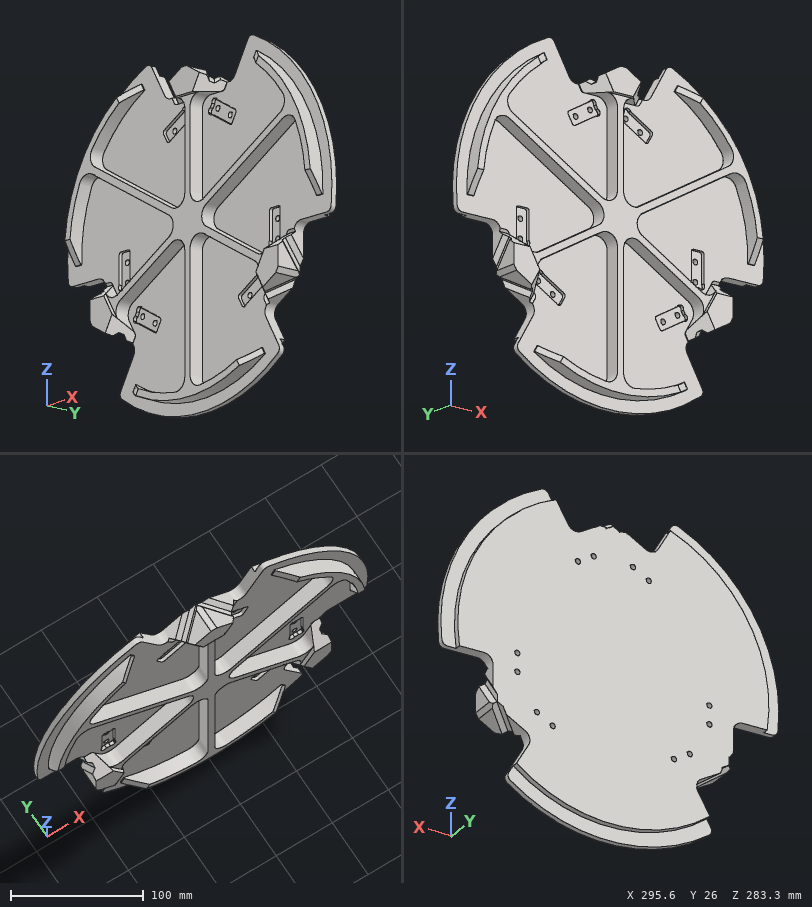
import cadquery as cq
import math


BACK_STEP = 5.0
PLATE_FRONT = 10.0
WEB_FRONT = 22.5
LUG_FRONT = 26.0

RIM_RADIUS = 147.8
BACK_RADIUS = 136.0
RING_OUTER_RADIUS = 137.8
WALL_THICKNESS = 6.0
RING_INNER_RADIUS = RING_OUTER_RADIUS - WALL_THICKNESS
RIB_HALF = WALL_THICKNESS / 2
WEB_FILLET = 10.0

NOTCH_EDGE_Z = -20.0
NOTCH_FILLET = 8.0
RIM_CORNER_FILLET = 5.0
FAR = 1.5 * RIM_RADIUS

RING_END_Z = -5.3
RAMP_LENGTH = 17.7
RAMP_STEP = 1.0

LUG_EDGE_DISTANCE = 105.3
LUG_TIP_RADIUS = 120.0
LUG_INNER_RADIUS = 98.2
LUG_FRONT_EDGE = 19.8
FLANK_ANGLE = math.radians(37.4)
RELIEF_LENGTH = 22.2
RELIEF_WIDTH = 9.0
RELIEF_CORNER_DIAMETER = 8.0
RELIEF_FILLET = RELIEF_CORNER_DIAMETER / 2

GROOVE_CENTRE = 11.5
GROOVE_WIDTH = 10.5
GROOVE_FLOOR = 4.0
GROOVE_DEPTH = 3.8

SEAT_X = -84.0
SEAT_TOP_Z = -4.0
SEAT_LENGTH = 29.5
SEAT_WIDTH = 11.8
SEAT_DEPTH = 3.0
SEAT_FILLET = 2.0
SEAT_LOBE_DIAMETER = 6.0
SEAT_LOBE_INSET = 2.22
HOLE_DIAMETER = 4.5
HOLE_COUNT = 2
HOLE_PITCH = 16.0
FIRST_HOLE_OFFSET = 8.5

SECTOR_TURNS = (0, 120, 240)
LUG_DIRECTION = math.radians(210)
RING_RIB_DIRECTION = math.radians(150)
APEX_ANGLE = math.radians(30)
LUG_APEX_Z = -LUG_EDGE_DISTANCE * math.tan(APEX_ANGLE)
LUG_APEX_RADIUS = LUG_EDGE_DISTANCE / math.cos(APEX_ANGLE)
TIP_HALF = (LUG_APEX_RADIUS - LUG_TIP_RADIUS) / math.tan(APEX_ANGLE)
NOTCH_CORNER = (-LUG_EDGE_DISTANCE, NOTCH_EDGE_Z)


def from_lug_axis(along, across):
    """Point given by its distance along the lug axis and across it, towards the ring rib."""
    axis_x = math.cos(LUG_DIRECTION)
    axis_z = math.sin(LUG_DIRECTION)
    return (along * axis_x + across * axis_z, along * axis_z - across * axis_x)


def on_lug_inner_line(z):
    """Point at height z on the line of the lug's inner face, square to the lug axis."""
    return ((LUG_INNER_RADIUS - z * math.sin(LUG_DIRECTION)) / math.cos(LUG_DIRECTION), z)


def on_circle(radius, angle):
    return (radius * math.cos(angle), radius * math.sin(angle))


def layer(start, end, sketch):
    """Extrude what sketch draws, between two distances in front of the back face."""
    return sketch(cq.Workplane("XZ", origin=(0, -start, 0))).extrude(end - start)


def disc(radius, start, end):
    return layer(start, end, lambda plane: plane.circle(radius))


def polygon(points, start, end):
    return layer(start, end, lambda plane: plane.polyline(points).close())


def six_copies(half):
    """The half-sector shape, its mirror image, and both turned to all three sectors."""
    copies = []
    for shape in (half, half.mirror("YZ")):
        for turn in SECTOR_TURNS:
            copies.append(shape.rotate((0, 0, 0), (0, 1, 0), turn))
    joined = copies[0]
    for copy in copies[1:]:
        joined = joined.union(copy)
    return joined


TIP_MIDDLE = from_lug_axis(LUG_TIP_RADIUS, 0)
TIP_CORNER = from_lug_axis(LUG_TIP_RADIUS, TIP_HALF)
LUG_INNER_MIDDLE = from_lug_axis(LUG_INNER_RADIUS, 0)
FAR_MIDDLE = from_lug_axis(FAR, 0)


def half_notch():
    outline = [TIP_MIDDLE, TIP_CORNER, NOTCH_CORNER, (-FAR, NOTCH_EDGE_Z), FAR_MIDDLE]
    notch = polygon(outline, 0, PLATE_FRONT)
    corner = cq.selectors.NearestToPointSelector((NOTCH_CORNER[0], -PLATE_FRONT / 2, NOTCH_CORNER[1]))
    return notch.edges("|Y").edges(corner).fillet(NOTCH_FILLET)


def make_plate():
    notches = six_copies(half_notch())
    rim = disc(RIM_RADIUS, BACK_STEP, PLATE_FRONT).cut(notches)
    corner_x = -math.sqrt(RIM_RADIUS**2 - NOTCH_EDGE_Z**2)
    corner_y = -(BACK_STEP + PLATE_FRONT) / 2
    for side in (1, -1):
        for turn in SECTOR_TURNS:
            corner = cq.Vertex.makeVertex(side * corner_x, corner_y, NOTCH_EDGE_Z)
            spot = corner.rotate((0, 0, 0), (0, 1, 0), turn).toTuple()
            rim = rim.edges(cq.selectors.NearestToPointSelector(spot)).fillet(RIM_CORNER_FILLET)
    back = disc(BACK_RADIUS, 0, BACK_STEP).cut(notches)
    return back.union(rim)


def half_web_pocket(gap_corner):
    """Space between a lug rib and a ring rib, with rounded rib corners."""
    hub_corner = (-2 * RIB_HALF, 0)
    lug_corner = from_lug_axis(LUG_INNER_RADIUS, RIB_HALF)
    ring_end = (-math.sqrt(RING_INNER_RADIUS**2 - RING_END_Z**2), RING_END_Z)
    corner_angle = RING_RIB_DIRECTION + math.asin(RIB_HALF / RING_INNER_RADIUS)
    ring_corner = on_circle(RING_INNER_RADIUS, corner_angle)
    ring_middle = on_circle(RING_INNER_RADIUS, (corner_angle + math.pi) / 2)

    def outline(plane):
        start = plane.moveTo(*hub_corner).lineTo(*lug_corner).lineTo(*gap_corner).lineTo(*ring_end)
        return start.threePointArc(ring_middle, ring_corner).close()

    pocket = layer(PLATE_FRONT, WEB_FRONT, outline)
    for x, z in (hub_corner, lug_corner, ring_corner):
        spot = (x, -(PLATE_FRONT + WEB_FRONT) / 2, z)
        pocket = pocket.edges(cq.selectors.NearestToPointSelector(spot)).fillet(WEB_FILLET)
    return pocket


def half_ring_ramp():
    foot = -(PLATE_FRONT + RAMP_STEP)
    outline = [(foot, RING_END_Z), (-WEB_FRONT, RING_END_Z + RAMP_LENGTH), (-WEB_FRONT, RING_END_Z)]
    inside = RING_INNER_RADIUS - WALL_THICKNESS
    ramp = cq.Workplane("YZ", origin=(-RIM_RADIUS, 0, 0)).polyline(outline).close()
    return ramp.extrude(RIM_RADIUS - inside)


def make_web():
    """Ring wall and six ribs on the front of the plate."""
    gap_corner = on_lug_inner_line(RING_END_Z)
    gap_outline = [LUG_INNER_MIDDLE, gap_corner, (-FAR, RING_END_Z), FAR_MIDDLE]
    web = disc(RING_OUTER_RADIUS, PLATE_FRONT, WEB_FRONT)
    web = web.cut(six_copies(half_web_pocket(gap_corner)))
    web = web.cut(six_copies(polygon(gap_outline, PLATE_FRONT, WEB_FRONT)))
    return web.cut(six_copies(half_ring_ramp()))


def flank_plane():
    """Plane of the sloping lug flank: local X runs back down the slope, local Y out of the lug."""
    sine = math.sin(FLANK_ANGLE)
    cosine = math.cos(FLANK_ANGLE)
    origin = (-LUG_EDGE_DISTANCE, -LUG_FRONT, LUG_APEX_Z + LUG_FRONT_EDGE)
    return cq.Workplane(cq.Plane(origin, xDir=(0, cosine, sine), normal=(0, -sine, cosine)))


def half_lug():
    inner_corner = on_lug_inner_line(NOTCH_EDGE_Z)
    outline = [LUG_INNER_MIDDLE, TIP_MIDDLE, TIP_CORNER, NOTCH_CORNER, inner_corner]
    lug = polygon(outline, PLATE_FRONT, LUG_FRONT)
    beyond_flank = flank_plane().rect(FAR, FAR).extrude(FAR)
    return lug.cut(beyond_flank)


def half_relief():
    """Continues the flank a little way into the plate."""
    relief = flank_plane().moveTo(0, -RELIEF_WIDTH)
    relief = relief.lineTo(RELIEF_LENGTH - RELIEF_FILLET, -RELIEF_WIDTH)
    relief = relief.radiusArc((RELIEF_LENGTH, RELIEF_FILLET - RELIEF_WIDTH), -RELIEF_FILLET)
    relief = relief.lineTo(RELIEF_LENGTH, RELIEF_WIDTH).lineTo(0, RELIEF_WIDTH).close()
    return relief.extrude(PLATE_FRONT)


def half_groove():
    top = GROOVE_WIDTH / 2
    floor = GROOVE_FLOOR / 2
    outline = [
        (GROOVE_CENTRE - top, 0),
        (GROOVE_CENTRE - floor, -GROOVE_DEPTH),
        (GROOVE_CENTRE + floor, -GROOVE_DEPTH),
        (GROOVE_CENTRE + top, 0),
    ]
    return flank_plane().polyline(outline).close().extrude(LUG_EDGE_DISTANCE / 2, both=True)


def half_seat():
    """Shallow seat with corner lobes at the end near the lug, and two through holes."""
    floor = PLATE_FRONT - SEAT_DEPTH
    end_z = SEAT_TOP_Z - SEAT_LENGTH
    middle_z = SEAT_TOP_Z - SEAT_LENGTH / 2
    seat = layer(floor, PLATE_FRONT, lambda plane: plane.rect(SEAT_WIDTH, SEAT_LENGTH))
    seat = seat.translate((SEAT_X, 0, middle_z))
    seat = seat.edges("|Y and >Z").fillet(SEAT_FILLET)
    for side in (-1, 1):
        lobe_x = SEAT_X + side * (SEAT_WIDTH / 2 - SEAT_LOBE_INSET)
        lobe = disc(SEAT_LOBE_DIAMETER / 2, floor, PLATE_FRONT)
        seat = seat.union(lobe.translate((lobe_x, 0, end_z + SEAT_LOBE_INSET)))
    for index in range(HOLE_COUNT):
        hole_z = SEAT_TOP_Z - FIRST_HOLE_OFFSET - index * HOLE_PITCH
        hole = disc(HOLE_DIAMETER / 2, 0, PLATE_FRONT)
        seat = seat.union(hole.translate((SEAT_X, 0, hole_z)))
    return seat


result = make_plate().cut(six_copies(half_relief()))
result = result.union(make_web()).union(six_copies(half_lug()))
result = result.cut(six_copies(half_groove())).cut(six_copies(half_seat()))